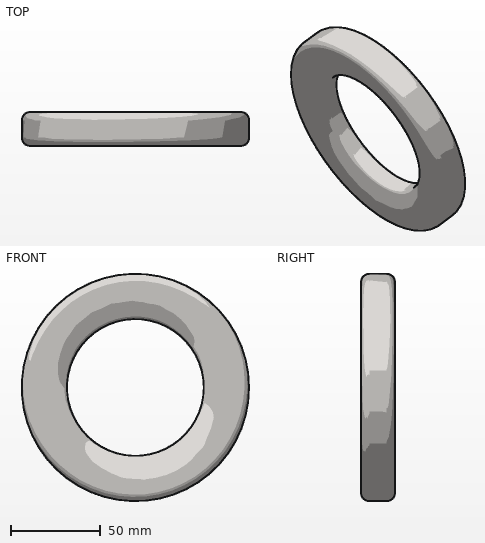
import cadquery as cq
import math

outer_radius = 63.5
width = 19.0
rim_fillet = 4.7
flare_mouth_radius = 52.3
throat_radius = 39.6
flare_depth = 4.0
flare_end_slope = math.radians(30)
bore_radius = 38.1

face = width / 2
throat = face - flare_depth

flare_run = flare_mouth_radius - throat_radius
flare_chord = math.hypot(flare_run, flare_depth)
chord_slope = math.atan2(flare_depth, flare_run)
flare_half_angle = flare_end_slope - chord_slope
flare_bulge = flare_chord / 2 * math.tan(flare_half_angle / 2)
flare_mid_radius = (flare_mouth_radius + throat_radius) / 2 - flare_bulge * math.sin(chord_slope)
flare_mid = (face + throat) / 2 + flare_bulge * math.cos(chord_slope)

shoulder_radius = (throat_radius - bore_radius) / (1 - math.sin(flare_end_slope))
shoulder_center_radius = bore_radius + shoulder_radius
bore_end = throat - shoulder_radius * math.cos(flare_end_slope)
shoulder_mid_angle = (math.pi / 2 - flare_end_slope) / 2
shoulder_mid_radius = shoulder_center_radius - shoulder_radius * math.cos(shoulder_mid_angle)
shoulder_mid = bore_end + shoulder_radius * math.sin(shoulder_mid_angle)

disc = (
    cq.Workplane("XZ", origin=(0, face, 0))
    .circle(outer_radius)
    .extrude(width)
    .edges()
    .fillet(rim_fillet)
)

opening_half = (
    cq.Workplane("XY")
    .lineTo(bore_radius, 0)
    .lineTo(bore_radius, bore_end)
    .threePointArc((shoulder_mid_radius, shoulder_mid), (throat_radius, throat))
    .threePointArc((flare_mid_radius, flare_mid), (flare_mouth_radius, face))
    .lineTo(0, face)
    .close()
    .revolve(360, (0, 0, 0), (0, 1, 0))
)

result = disc.cut(opening_half).cut(opening_half.mirror("XZ"))